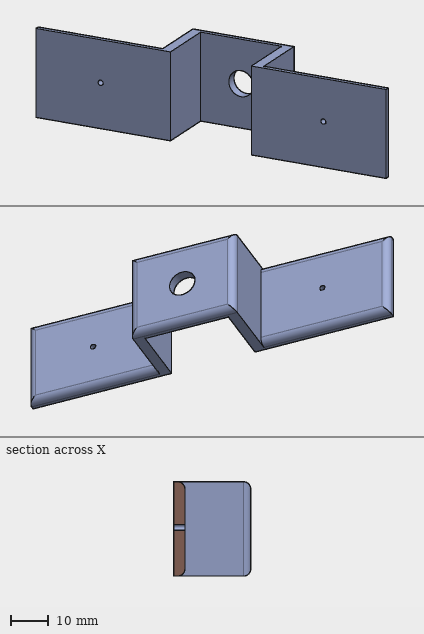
import cadquery as cq

length = 104.0
depth = 20.4
height = 25.0
channel_width = 24.0
wall = 3.0
edge_radius = 2.0

center_hole_diameter = 7.3
screw_hole_diameter = 1.5
screw_hole_offset = 33.1
screw_hole_rise = 0.4
screw_hole_shift = 0.3

hat_width = channel_width + 2 * wall


def block(width, thickness):
    """Full-height block centered on X and Z, with its front face on Y = 0."""
    return cq.Workplane("XY").box(width, thickness, height, centered=(True, False, True))


def rounded_back_block(width, thickness):
    """Block with all four edges of its back face rounded."""
    return block(width, thickness).faces(">Y").edges().fillet(edge_radius)


def through_hole(x, z, diameter):
    """Cutter running along Y through the whole depth."""
    return cq.Workplane("XZ").center(x, z).circle(diameter / 2).extrude(-depth)


wings = rounded_back_block(length, wall)
hat = rounded_back_block(hat_width, depth)
channel = block(channel_width, depth - wall)
result = wings.union(hat).cut(channel)

result = result.cut(through_hole(0, 0, center_hole_diameter))

for side in (-1, 1):
    screw_hole_x = screw_hole_shift + side * screw_hole_offset
    result = result.cut(through_hole(screw_hole_x, screw_hole_rise, screw_hole_diameter))